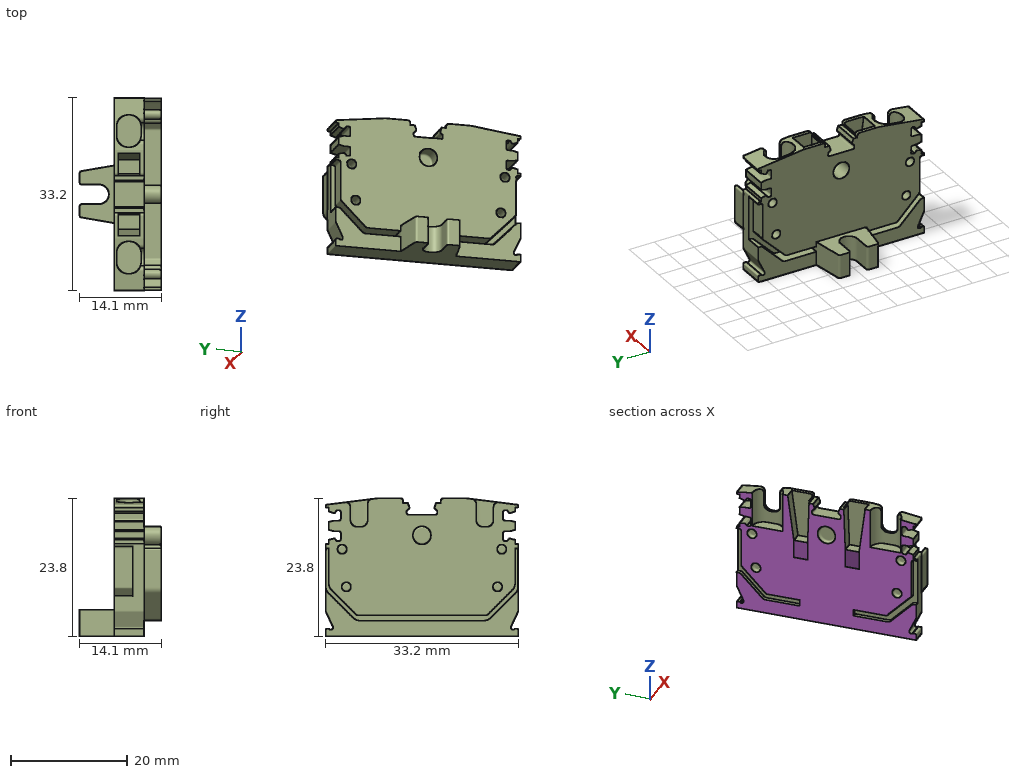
import cadquery as cq
import math


length = 33.2
half_length = length / 2
height = 23.8
thickness = 5.15
roof_end_height = 22.68
roof_flat_half_width = 7.65

rim_depth = 3.0
recess_depth = 3.22
pin_radius = 1.55
small_pin_radius = 0.8
hole_clearance = 0.03
tip_rounding = 0.33
center_pin_place = (0.0, 17.4)
upper_pin_place = (13.75, 15.0)
lower_pin_place = (13.0, 8.53)

fork_reach = 5.98
fork_height = 4.6
fork_root_half_width = 4.98
fork_tip_half_width = 3.95
fork_slot_radius = 1.65
fork_slot_center = -2.6
fork_rounding = 0.43

shaft_x = 2.52
shaft_y = 10.9
shaft_width = 4.2
shaft_length = 5.55
shaft_rounding = 1.95
shaft_floor = 16.6
opening_y = 10.82
opening_floor = 18.85
opening_half_width = 1.5
opening_floor_rounding = 1.23
opening_mouth_rounding = 0.83
opening_mouth_reach = 1.0

funnel_near_x = 0.7
funnel_far_x = 4.4
funnel_top = (3.22, 7.1)
funnel_bottom = (3.52, 5.98)
funnel_floor = 15.27
contact_height = 3.32

sides = (1, -1)


def rounded_wire(corners):
    """Closed YZ outline at X = 0 through (y, z, radius) corners, with an arc at each rounded corner."""
    arcs = []
    count = len(corners)
    for i, (y, z, radius) in enumerate(corners):
        corner = cq.Vector(0, y, z)
        if radius == 0:
            arcs.append((corner, None, corner))
            continue
        back = (cq.Vector(0, *corners[i - 1][:2]) - corner).normalized()
        ahead = (cq.Vector(0, *corners[(i + 1) % count][:2]) - corner).normalized()
        half_angle = back.getAngle(ahead) / 2
        setback = radius / math.tan(half_angle)
        bisector = (back + ahead).normalized()
        middle = corner + bisector * (radius / math.sin(half_angle) - radius)
        arcs.append((corner + back * setback, middle, corner + ahead * setback))
    edges = []
    for i, (start, middle, end) in enumerate(arcs):
        if middle is not None:
            edges.append(cq.Edge.makeThreePointArc(start, middle, end))
        edges.append(cq.Edge.makeLine(end, arcs[(i + 1) % count][0]))
    return cq.Wire.assembleEdges(edges)


def rounded_prism(corners, depth, start_x=0.0):
    """Prism of a rounded YZ outline, extruded along +X from start_x."""
    solid = cq.Solid.extrudeLinear(rounded_wire(corners), [], cq.Vector(depth, 0, 0))
    return cq.Workplane(solid).translate((start_x, 0, 0))


def mirrored(half_outline):
    """Full outline from its +Y half, which runs from the bottom to the top."""
    return half_outline + [(-y, z, radius) for y, z, radius in reversed(half_outline)]


foot_notch = [
    (half_length, 0.0, 0.13),
    (half_length, 1.33, 0.23),
    (15.97, 1.33, 0),
    (15.8, 1.15, 0),
    (15.1, 1.15, 0.35),
    (half_length, 4.3, 0.53),
]
label_slots = [
    (half_length, 15.95, 0.2),
    (16.07, 15.95, 0),
    (16.07, 16.63, 0),
    (15.07, 16.9, 0.13),
    (14.65, 16.45, 0),
    (13.98, 16.45, 0.33),
    (13.98, 18.1, 0.33),
    (15.17, 18.1, 0),
    (16.07, 18.33, 0),
    (16.07, 19.72, 0),
    (15.17, 19.95, 0),
    (13.98, 19.95, 0.33),
    (13.98, 21.7, 0.33),
    (14.65, 21.7, 0),
    (15.07, 21.15, 0.13),
    (16.07, 21.5, 0),
    (16.07, 22.18, 0),
]
top_edge = [
    (half_length, 22.18, 0.23),
    (half_length, roof_end_height, 0.25),
    (roof_flat_half_width, height, 0),
    (3.22, height, 0.5),
    (3.22, 23.0, 0),
    (2.42, 23.0, 0),
    (2.1, 22.08, 0.25),
    (2.62, 21.6, 0.25),
    (2.62, 20.95, 0.33),
]


def make_plate():
    return rounded_prism(mirrored(foot_notch + label_slots + top_edge), thickness)


def u_channel(outer_half, inner_half):
    """Outline of a U, open at the top, between two half outlines that run outward and upward."""
    return mirrored(outer_half + inner_half[::-1])


groove_outer = [(11.6, 2.65, 1.0), (15.9, 6.97, 0.65), (half_length, 6.97, 0)]
groove_inner = [(11.12, 3.72, 0.5), (15.75, 8.33, 0.33), (15.75, 15.5, 0.4), (half_length, 15.5, 0)]
rim_outer = [(11.35, 2.72, 1.6), (16.55, 7.9, 1.25), (16.55, 15.17, 0.33)]
rim_inner = [(11.2, 3.62, 0.55), (16.05, 8.45, 1.6), (16.05, 15.17, 0)]


def make_groove():
    return rounded_prism(u_channel(groove_outer, groove_inner), recess_depth)


def make_rim():
    return rounded_prism(u_channel(rim_outer, rim_inner), rim_depth, thickness)


def mirror_pair(place):
    y, z = place
    return [(y, z), (-y, z)]


def round_tipped(start_x, places, radius, depth):
    """Cylinders along +X with rounded far ends."""
    return (
        cq.Workplane("YZ", origin=(start_x, 0, 0))
        .pushPoints(places)
        .circle(radius)
        .extrude(depth)
        .faces(">X")
        .edges()
        .fillet(tip_rounding)
    )


def make_pins(start_x, depth, clearance=0.0):
    small_places = mirror_pair(upper_pin_place) + mirror_pair(lower_pin_place)
    center_pin = round_tipped(start_x, [center_pin_place], pin_radius + clearance, depth)
    small_pins = round_tipped(start_x, small_places, small_pin_radius + clearance, depth)
    return center_pin.add(small_pins).combine()


def make_fork():
    tip = (
        cq.Workplane("XY")
        .moveTo(0, -fork_root_half_width)
        .lineTo(-fork_reach, -fork_tip_half_width)
        .lineTo(-fork_reach, -fork_slot_radius)
        .lineTo(fork_slot_center, -fork_slot_radius)
        .threePointArc((fork_slot_center + fork_slot_radius, 0), (fork_slot_center, fork_slot_radius))
        .lineTo(-fork_reach, fork_slot_radius)
        .lineTo(-fork_reach, fork_tip_half_width)
        .lineTo(0, fork_root_half_width)
        .close()
        .extrude(fork_height)
        .edges("|Z and <X")
        .fillet(fork_rounding)
    )
    root = cq.Workplane("XY").box(
        recess_depth, 2 * fork_root_half_width, fork_height, centered=(False, True, False)
    )
    return tip.union(root)


def make_shaft(side):
    shaft = (
        cq.Workplane("XY", origin=(shaft_x, side * shaft_y, shaft_floor))
        .rect(shaft_width, shaft_length)
        .extrude(height - shaft_floor)
        .edges("|Z")
        .fillet(shaft_rounding)
    )
    return shaft.union(make_shaft_opening(side))


def make_shaft_opening(side):
    """Notch through the +X wall, with a rounded floor and a mouth that rounds over into the roof."""
    half_outline = {}
    for away in (1, -1):
        wall_y = opening_y + away * opening_half_width
        mouth_y = wall_y + away * opening_mouth_reach
        half_outline[away] = [
            (side * wall_y, opening_floor, opening_floor_rounding),
            (side * wall_y, roof_height(wall_y), opening_mouth_rounding),
            (side * mouth_y, roof_height(mouth_y), 0),
            (side * mouth_y, height, 0),
        ]
    outline = half_outline[1] + half_outline[-1][::-1]
    return rounded_prism(outline, thickness - shaft_x, shaft_x)


def roof_height(y):
    """Height of the sloping roof at the distance y from the middle."""
    slope = (height - roof_end_height) / (half_length - roof_flat_half_width)
    return roof_end_height + slope * (half_length - y)


def make_funnel(side):
    return (
        cq.Workplane("YZ", origin=(funnel_near_x, 0, 0))
        .polyline(
            [
                (side * funnel_bottom[0], funnel_floor),
                (side * funnel_bottom[1], funnel_floor),
                (side * funnel_top[1], height),
                (side * funnel_top[0], height),
            ]
        )
        .close()
        .extrude(funnel_far_x - funnel_near_x)
    )


def make_contact(side):
    width = funnel_bottom[1] - funnel_bottom[0]
    middle_y = side * (funnel_bottom[0] + funnel_bottom[1]) / 2
    return cq.Workplane("XY", origin=(funnel_near_x, middle_y, funnel_floor - contact_height)).box(
        funnel_far_x - funnel_near_x, width, contact_height, centered=(False, True, False)
    )


def make_housing(contacts):
    housing = make_plate().cut(make_groove()).union(make_fork()).union(make_rim())
    housing = housing.union(make_pins(thickness, rim_depth))
    housing = housing.cut(make_pins(0.0, recess_depth, hole_clearance))
    for side in sides:
        housing = housing.cut(make_shaft(side)).cut(make_funnel(side))
    for contact in contacts:
        housing = housing.cut(contact)
    return housing


contacts = [make_contact(side) for side in sides]
housing = make_housing(contacts)

result = cq.Compound.makeCompound([housing.val(), *[contact.val() for contact in contacts]])